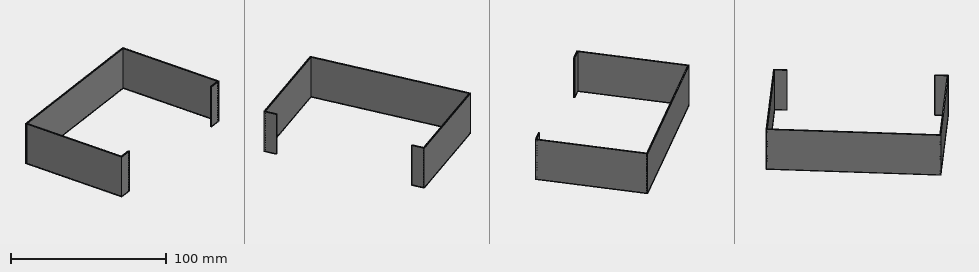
import cadquery as cq

depth = 74.3
length = 112.6
height = 30.0

wall = 0.8
lip_length = 8.8

outer = cq.Workplane("XY").box(depth, length, height)
inner = cq.Workplane("XY").box(depth - 2 * wall, length - 2 * wall, height)
frame = outer.cut(inner)

opening_width = length - 2 * lip_length
opening = (
    cq.Workplane("XY")
    .center(depth / 2, 0)
    .box(4 * wall, opening_width, height)
)

result = frame.cut(opening)